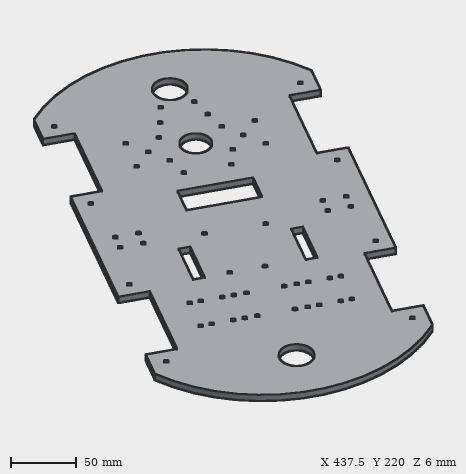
import cadquery as cq
import math

length = 437.5
width = 220.0
thickness = 6.0
end_radius = 140.0
notch_length = 75.0
notch_depth = 25.0
middle_tab_length = 130.5

small_hole_diameter = 3.5
end_opening_diameter = 27.0
end_opening_x = 172.7
servo_x = -102.5
servo_opening_diameter = 25.0
center_window_x = -36.7
center_window_length = 25.0
center_window_width = 60.0
slot_x = 40.2
slot_y = 44.5
slot_length = 40.0
slot_width = 9.0

tab_hole_y = 97.5
tab_hole_xs = (52.5, 152.5)

servo_ring_radius = 37.5
servo_ring_count = 6
servo_column_offset = 15.0
bracket_hole_ys = (25.0, 51.0)

terminal_column_xs = (87.5, 117.0)
terminal_hole_ys = (15.0, 25.0, 34.0, 51.0, 60.0)

motor_hole_xs = (-7.0, 6.0)
motor_hole_ys = (73.0, 91.5)

board_holes = [(8.7, 23.0), (7.5, -25.0), (59.5, 8.0), (59.5, -20.0)]
sensor_holes = [(-152.5, 13.5), (-153.0, -13.0)]


def mirrored_grid(xs, ys):
    """Points at every x and y, repeated on both sides of the X axis."""
    return [(x, side * y) for x in xs for y in ys for side in (-1, 1)]


def drill(plate, points, diameter):
    """Cut round through holes at the given points."""
    cutter = cq.Workplane("XY").pushPoints(points).circle(diameter / 2).extrude(thickness)
    return plate.cut(cutter)


def cut_rectangles(plate, points, size_x, size_y):
    """Cut rectangular through openings centred on the given points."""
    cutter = cq.Workplane("XY").pushPoints(points).rect(size_x, size_y).extrude(thickness)
    return plate.cut(cutter)


def make_blank():
    """Plate outline before the notches and openings are cut."""
    half_length = length / 2
    half_width = width / 2
    arc_center_x = half_length - end_radius
    corner_x = arc_center_x + math.sqrt(end_radius**2 - half_width**2)
    return (
        cq.Workplane("XY")
        .moveTo(-corner_x, -half_width)
        .lineTo(corner_x, -half_width)
        .threePointArc((half_length, 0), (corner_x, half_width))
        .lineTo(-corner_x, half_width)
        .threePointArc((-half_length, 0), (-corner_x, -half_width))
        .close()
        .extrude(thickness)
    )


def cut_notches(plate):
    """Cut the four wheel notches in from the long sides."""
    notch_x = (middle_tab_length + notch_length) / 2
    centers = mirrored_grid((-notch_x, notch_x), (width / 2,))
    return cut_rectangles(plate, centers, notch_length, 2 * notch_depth)


def servo_holes():
    """Hexagonal ring of holes and two bracket columns around the servo opening."""
    points = []
    for index in range(servo_ring_count):
        angle = math.pi / 2 + 2 * math.pi * index / servo_ring_count
        x = servo_x + servo_ring_radius * math.cos(angle)
        y = servo_ring_radius * math.sin(angle)
        points.append((x, y))
    column_xs = (servo_x - servo_column_offset, servo_x + servo_column_offset)
    return points + mirrored_grid(column_xs, bracket_hole_ys)


plate = cut_notches(make_blank())

plate = drill(plate, [(-end_opening_x, 0), (end_opening_x, 0)], end_opening_diameter)
plate = drill(plate, [(servo_x, 0)], servo_opening_diameter)
plate = cut_rectangles(plate, [(center_window_x, 0)], center_window_length, center_window_width)
plate = cut_rectangles(plate, mirrored_grid((slot_x,), (slot_y,)), slot_length, slot_width)

tab_holes = [point for x in tab_hole_xs for point in mirrored_grid((-x, x), (tab_hole_y,))]
terminal_holes = mirrored_grid(terminal_column_xs, terminal_hole_ys)
motor_holes = mirrored_grid(motor_hole_xs, motor_hole_ys)
small_holes = tab_holes + servo_holes() + terminal_holes + motor_holes + board_holes + sensor_holes
result = drill(plate, small_holes, small_hole_diameter)